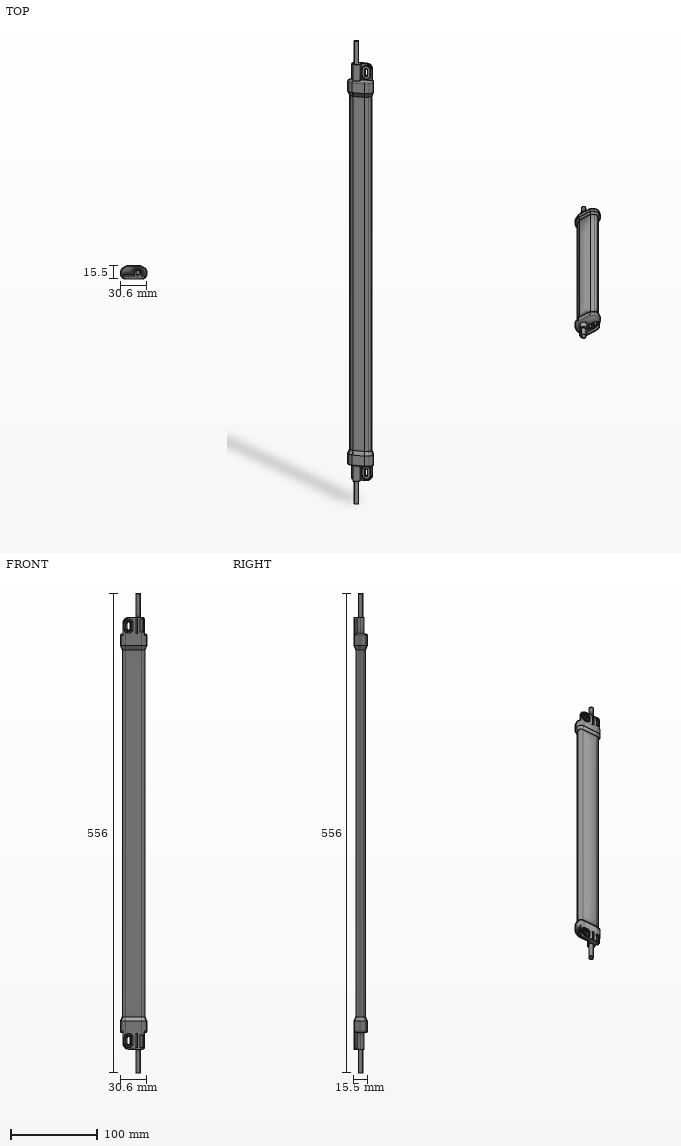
import cadquery as cq
import math

overall_length = 556.0

cap_half_width = 15.3
cap_half_depth = 15.53 / 2
wall = 2.2
flat_half_width = 9.3
bevel_angle = 62.0
side_flat_top = 0.1
cap_round = cap_half_width - flat_half_width
side_flat_bottom = cap_round - cap_half_depth

profile_end = 225.0
shoulder_z = 230.8
ear_end = 250.4
cap_start = 212.75
taper_end = 217.75
shoulder_fillet = 1.4

ear_half_width = 12.5
ear_back = -4.2
ear_large_corner = 7.2
ear_small_corner = 2.8

slot_x = -5.9
slot_z = 240.3
slot_half_width = 1.7
slot_half_length = 4.8
slot_step = 1.7
recess_depth = 1.0
pad_back = -2.5

groove_depth = 2.0
narrow_groove = (2.5, 4.3, 231.9, 248.6)
wide_groove = (7.5, 10.9, 233.6, 248.6)

cable_x = 5.0
cable_y = -0.2
cable_radius = 2.6
boss_radius = 4.2


def profile(offset):
    """Outline of the cap moved inward by `offset`, in the XY plane."""
    radius = cap_round - offset
    half_width = cap_half_width - offset
    half_depth = cap_half_depth - offset
    bevel = math.radians(bevel_angle)

    def corner(center_y, angle):
        return (
            flat_half_width + radius * math.cos(angle),
            center_y + radius * math.sin(angle),
        )

    def mirror(point):
        return (-point[0], point[1])

    front_mid = corner(side_flat_bottom, -math.pi / 4)
    back_mid = corner(side_flat_top, bevel / 2)
    bevel_start = corner(side_flat_top, bevel)
    bevel_end_x = bevel_start[0] - (half_depth - bevel_start[1]) * math.tan(bevel)
    return (
        cq.Sketch()
        .segment((-flat_half_width, -half_depth), (flat_half_width, -half_depth))
        .arc((flat_half_width, -half_depth), front_mid, (half_width, side_flat_bottom))
        .segment((half_width, side_flat_top))
        .arc((half_width, side_flat_top), back_mid, bevel_start)
        .segment((bevel_end_x, half_depth))
        .segment((-bevel_end_x, half_depth))
        .segment(mirror(bevel_start))
        .arc(mirror(bevel_start), mirror(back_mid), (-half_width, side_flat_top))
        .segment((-half_width, side_flat_bottom))
        .arc((-half_width, side_flat_bottom), mirror(front_mid), (-flat_half_width, -half_depth))
        .assemble()
    )


def prism(offset, bottom, top):
    """Straight length of the profile between two heights."""
    return cq.Workplane().workplane(offset=bottom).placeSketch(profile(offset)).extrude(top - bottom)


def taper():
    """Lower part of the cap, widening from the lamp profile to the full cap outline."""
    small = profile(wall).moved(cq.Location(cq.Vector(0, 0, cap_start)))
    large = profile(0).moved(cq.Location(cq.Vector(0, 0, taper_end)))
    return cq.Workplane().placeSketch(small, large).loft(ruled=True)


def box_between(x0, x1, y0, y1, z0, z1):
    return cq.Workplane().box(x1 - x0, y1 - y0, z1 - z0, centered=False).translate((x0, y0, z0))


def slot_block(grow, y0, y1):
    """Round-ended block around the mounting slot, `grow` larger than the slot all round."""
    width = 2 * (slot_half_width + grow)
    length = 2 * (slot_half_length + grow)
    return (
        cq.Workplane("XZ", origin=(slot_x, y0, slot_z))
        .slot2D(length, width, 90)
        .extrude(y0 - y1)
    )


def make_ear():
    """Flat ear with rounded outer corners, carrying the cable boss and the slot."""
    front = -cap_half_depth
    plate = box_between(-ear_half_width, ear_half_width, front, ear_back, shoulder_z, ear_end)
    plate = plate.edges("|Y and >Z and <X").fillet(ear_large_corner)
    plate = plate.edges("|Y and >Z and >X").fillet(ear_small_corner)
    plate = plate.intersect(prism(0, shoulder_z, ear_end))

    boss = (
        cq.Workplane(origin=(cable_x, cable_y, shoulder_z))
        .circle(boss_radius)
        .extrude(ear_end - shoulder_z)
    )
    boss_foot = box_between(
        cable_x - boss_radius, cable_x + boss_radius, ear_back, cable_y, shoulder_z, ear_end
    )
    ear = plate.union(boss_foot).union(boss).union(slot_block(2 * slot_step, ear_back, pad_back))

    ear = ear.cut(slot_block(2 * slot_step, front, front + recess_depth))
    ear = ear.cut(slot_block(slot_step, front, front + 2 * recess_depth))
    ear = ear.cut(slot_block(0, front, pad_back))
    for left, right, bottom, top in (narrow_groove, wide_groove):
        ear = ear.cut(box_between(left, right, front, front + groove_depth, bottom, top))
    return ear


def make_cable():
    """Round cable from the end of the lamp profile to the outer end."""
    return (
        cq.Workplane(origin=(cable_x, cable_y, profile_end))
        .circle(cable_radius)
        .extrude(overall_length / 2 - profile_end)
    )


def make_end_cap():
    """End cap with a tapered start, a rounded shoulder and the mounting ear."""
    body = prism(0, taper_end, shoulder_z).faces(">Z").edges().fillet(shoulder_fillet)
    ear_root = prism(0, taper_end, shoulder_z).intersect(
        box_between(
            -ear_half_width, ear_half_width, -cap_half_depth, ear_back, taper_end, shoulder_z
        )
    )
    cap = body.union(ear_root).union(taper()).union(make_ear())
    return cap.cut(prism(wall, cap_start, profile_end)).cut(make_cable())


lamp_profile = prism(wall, -profile_end, profile_end)

bodies = [lamp_profile.val()]
for make_body in (make_end_cap, make_cable):
    upper = make_body()
    lower = upper.mirror("XY")
    bodies += [upper.val(), lower.val()]

result = cq.Compound.makeCompound(bodies)